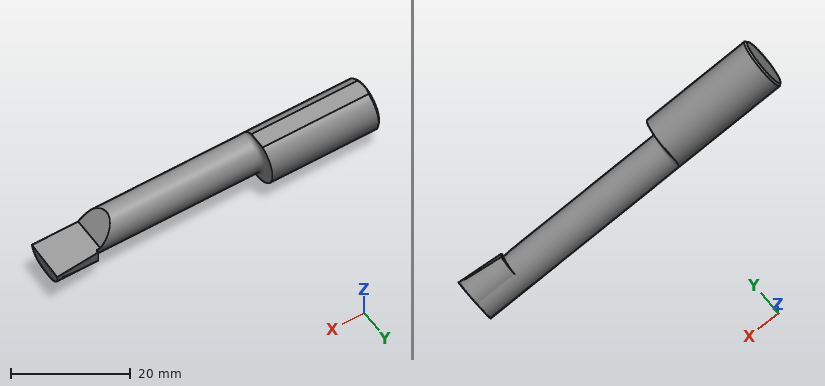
import cadquery as cq
import math

overall_length = 63.5

shank_diameter = 9.525
shank_radius = shank_diameter / 2
shank_length = 21.5
shank_chamfer = 0.35
flat_height = 4.445

neck_radius = 3.54
neck_offset = -1.47
neck_fillet = 0.75

head_start = 54.8
head_reach = 3.4
side_relief_angle = 5.0
end_relief_angle = 1.5
end_clearance_angle = 7.0
rake_start = 54.05
rake_height = 0.0
ramp_angle = 45.0


def bar_along_x(radius, x_start, x_end, y_center):
    """Round bar parallel to X."""
    return cq.Workplane("YZ", origin=(x_start, y_center, 0)).circle(radius).extrude(x_end - x_start)


def make_shank():
    """Round shank with a chamfered end and a clamping flat on top."""
    shank = bar_along_x(shank_radius, 0, shank_length, 0).faces("<X").chamfer(shank_chamfer)
    flat_cutter = cq.Workplane("XY", origin=(0, 0, flat_height)).rect(
        2 * shank_length, shank_diameter
    ).extrude(shank_radius)
    return shank.cut(flat_cutter)


def make_neck():
    """Offset neck that flares into the shank face through a concave fillet."""
    flare_end = shank_length + neck_fillet
    arc_offset = neck_fillet * (1 - math.sqrt(0.5))
    profile = (
        cq.Workplane("XY", origin=(0, neck_offset, 0))
        .moveTo(shank_length, 0)
        .lineTo(shank_length, -neck_radius - neck_fillet)
        .threePointArc(
            (shank_length + arc_offset, -neck_radius - arc_offset),
            (flare_end, -neck_radius),
        )
        .lineTo(overall_length, -neck_radius)
        .lineTo(overall_length, 0)
        .close()
    )
    neck = profile.revolve(360, (0, 0, 0), (1, 0, 0))
    envelope = bar_along_x(shank_radius, shank_length, overall_length, 0)
    return neck.intersect(envelope)


def make_head():
    """Round-bellied head reaching out in +Y, narrowing from the tip back to the neck."""
    head_length = overall_length - head_start
    back_reach = head_reach - head_length * math.tan(math.radians(side_relief_angle))
    outline = (
        cq.Workplane("XY", origin=(0, 0, -neck_radius))
        .moveTo(head_start, neck_offset)
        .lineTo(head_start, back_reach)
        .lineTo(overall_length, head_reach)
        .lineTo(overall_length, neck_offset)
        .close()
        .extrude(neck_radius + rake_height)
    )
    belly = bar_along_x(neck_radius, head_start, overall_length, head_reach - neck_radius)
    return outline.intersect(belly)


def make_rake_cutter():
    """Everything above the rake face and the ramp leading down to it."""
    cut_height = shank_diameter
    ramp_run = cut_height / math.tan(math.radians(ramp_angle))
    return (
        cq.Workplane("XZ")
        .moveTo(rake_start, rake_height)
        .lineTo(overall_length, rake_height)
        .lineTo(overall_length, rake_height + cut_height)
        .lineTo(rake_start - ramp_run, rake_height + cut_height)
        .close()
        .extrude(shank_diameter, both=True)
    )


def make_end_cutter():
    """Block whose near face is tilted about the cutting corner for end relief and clearance."""
    size = 2 * shank_diameter
    corner = (overall_length, head_reach, rake_height)
    block = cq.Workplane("XY").box(size, 2 * size, 2 * size, centered=(False, True, True))
    return (
        block.rotate((0, 0, 0), (0, 1, 0), end_clearance_angle)
        .rotate((0, 0, 0), (0, 0, 1), -end_relief_angle)
        .translate(corner)
    )


bar = make_shank().union(make_neck())
bar = bar.cut(make_rake_cutter())
result = bar.union(make_head()).cut(make_end_cutter())